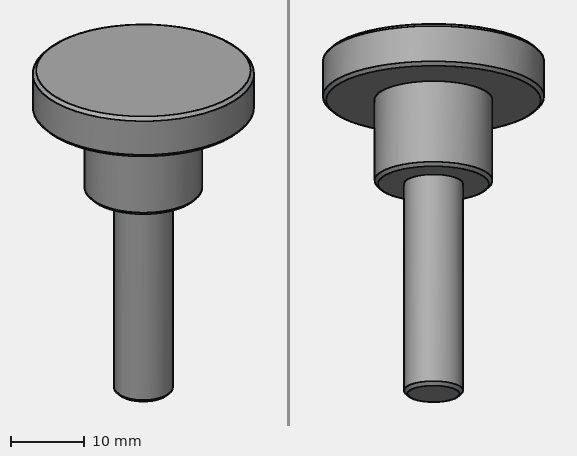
import cadquery as cq

total_height = 48.0
head_diameter = 30.0
head_height = 6.0
collar_diameter = 16.0
collar_height = 12.0
shank_diameter = 8.0
edge_chamfer = 0.5

shank_length = total_height - head_height - collar_height
shank_bottom = -total_height / 2
collar_bottom = shank_bottom + shank_length
head_bottom = collar_bottom + collar_height


def cylinder(diameter, height, bottom):
    """Vertical cylinder on the screw axis."""
    return cq.Workplane("XY").workplane(offset=bottom).circle(diameter / 2).extrude(height)


head = cylinder(head_diameter, head_height, head_bottom).edges().chamfer(edge_chamfer)

collar = cylinder(collar_diameter, collar_height, collar_bottom).faces("<Z").chamfer(edge_chamfer)
shank = cylinder(shank_diameter, shank_length, shank_bottom).faces("<Z").chamfer(edge_chamfer)

result = head.union(collar).union(shank)